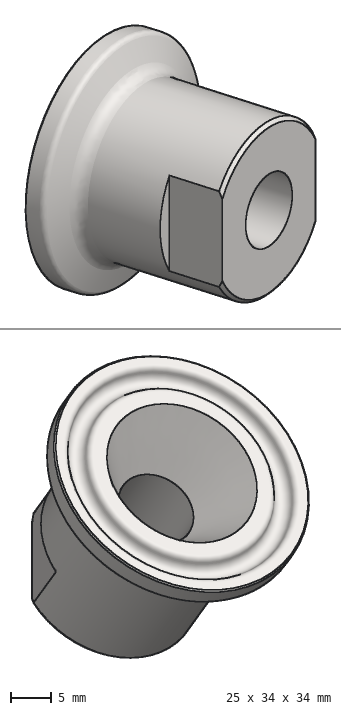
import cadquery as cq
import math

length = 25.0
flange_radius = 17.0
rim_width = 2.85
flange_slope = 20.0
rim_fillet = 0.8
neck_fillet = 2.0
face_chamfer = 0.2

body_radius = 12.0
end_chamfer = 0.5

bore_radius = 5.0
mouth_radius = 10.0
mouth_half_angle = 30.0

groove_mid_radius = 13.75
groove_half_width = 2.0
groove_wall_angle = 70.0
groove_lip_fillet = 0.8
groove_floor_radius = 1.2

flat_distance = 10.0
flat_length = 8.0

edge_margin = 0.1


def turn(outline):
    """Revolve a closed outline in the XZ plane fully about the X axis."""
    return outline.revolve(360, (0, 0, 0), (1, 0, 0))


def circle_at(x):
    """Selector for the circular edges lying at the given X position."""
    reach = flange_radius + edge_margin
    return cq.selectors.BoxSelector(
        (x - edge_margin, -reach, -reach),
        (x + edge_margin, reach, reach),
        boundingbox=True,
    )


def make_body():
    """Turned outside: flange with sloped back, neck and cylindrical body."""
    slope = math.tan(math.radians(flange_slope))
    neck_x = rim_width + (flange_radius - body_radius) * slope
    outline = [
        (0, 0),
        (0, flange_radius),
        (rim_width, flange_radius),
        (neck_x, body_radius),
        (length, body_radius),
        (length, 0),
    ]
    body = turn(cq.Workplane("XZ").polyline(outline).close())

    body = body.edges(circle_at(rim_width)).fillet(rim_fillet)
    body = body.edges(circle_at(neck_x)).fillet(neck_fillet)
    body = body.faces("<X").edges().chamfer(face_chamfer)
    return body.faces(">X").edges().chamfer(end_chamfer)


def make_bore():
    """Through bore with a conical mouth at the sealing face."""
    cone_length = (mouth_radius - bore_radius) / math.tan(math.radians(mouth_half_angle))
    outline = [
        (0, 0),
        (0, mouth_radius),
        (cone_length, bore_radius),
        (length, bore_radius),
        (length, 0),
    ]
    return turn(cq.Workplane("XZ").polyline(outline).close())


def make_gasket_groove():
    """Ring groove: rounded lips, short straight walls and a round floor, all tangent."""
    wall = math.radians(groove_wall_angle)
    half_wall = wall / 2

    lip_end = groove_half_width - groove_lip_fillet * math.sin(wall)
    lip_depth = groove_lip_fillet * (1 - math.cos(wall))
    lip_mid = groove_half_width - groove_lip_fillet * math.sin(half_wall)
    lip_mid_depth = groove_lip_fillet * (1 - math.cos(half_wall))
    floor_end = groove_floor_radius * math.sin(wall)
    floor_start_depth = lip_depth + (lip_end - floor_end) * math.tan(wall)
    floor_depth = floor_start_depth + groove_floor_radius * (1 - math.cos(wall))

    def point(depth, offset):
        return (depth, groove_mid_radius + offset)

    outline = (
        cq.Workplane("XZ")
        .moveTo(*point(0, -groove_half_width))
        .threePointArc(point(lip_mid_depth, -lip_mid), point(lip_depth, -lip_end))
        .lineTo(*point(floor_start_depth, -floor_end))
        .threePointArc(point(floor_depth, 0), point(floor_start_depth, floor_end))
        .lineTo(*point(lip_depth, lip_end))
        .threePointArc(point(lip_mid_depth, lip_mid), point(0, groove_half_width))
        .close()
    )
    return turn(outline)


def make_flat_cutter(side):
    """Block that leaves a wrench flat on the +Y (side = 1) or -Y (side = -1) side."""
    depth = flange_radius - flat_distance
    block = cq.Workplane("XY").box(flat_length, depth, 2 * flange_radius)
    return block.translate((length - flat_length / 2, side * (flat_distance + depth / 2), 0))


result = make_body().cut(make_bore()).cut(make_gasket_groove())
for side in (1, -1):
    result = result.cut(make_flat_cutter(side))